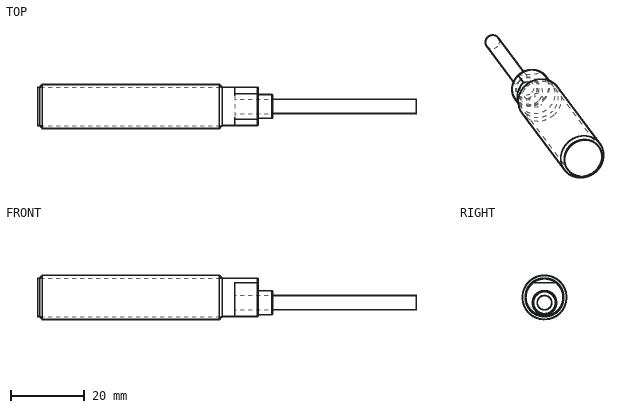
import cadquery as cq

total_length = 102.6
sleeve_diameter = 12.0
sleeve_radius = sleeve_diameter / 2
sleeve_start = 0.5
sleeve_end = 50.0

core_radius = 5.2
end_piece_start = 53.4
neck_end = 59.7
neck_edge_chamfer = 0.2
sleeve_chamfer = sleeve_radius - core_radius
parting_height = 3.9

cable_drop = 1.4
cable_radius = 2.0
gland_radius = 3.3
gland_end = 63.7
gland_chamfer = 0.3


def cylinder(start, end, radius, height=0.0):
    """Round bar along X between two positions, with its axis at the given Z."""
    return cq.Workplane("YZ", origin=(start, 0, height)).circle(radius).extrude(end - start)


def make_sleeve():
    """Metal tube around the core, chamfered at both ends."""
    profile = [
        (sleeve_start, core_radius),
        (sleeve_start + sleeve_chamfer, sleeve_radius),
        (sleeve_end - sleeve_chamfer, sleeve_radius),
        (sleeve_end, core_radius),
    ]
    return cq.Workplane("XY").polyline(profile).close().revolve(360, (0, 0), (1, 0))


def make_core_outline():
    """Complete round bar shared by the core and the end piece."""
    bar = cylinder(0, neck_end, core_radius)
    return bar.faces(">X").chamfer(neck_edge_chamfer)


def make_end_region():
    """Block behind the seam and below the parting plane."""
    return cq.Workplane("XY").box(
        neck_end - end_piece_start,
        sleeve_diameter,
        sleeve_radius + parting_height,
        centered=(False, True, False),
    ).translate((end_piece_start, 0, -sleeve_radius))


def make_core():
    """Bar through the sleeve: sensing face in front, tongue along the top of the neck behind."""
    return make_core_outline().cut(make_end_region())


def make_end_piece():
    """Lower rear part of the neck with the cable gland, bored for the cable."""
    body = make_core_outline().intersect(make_end_region())
    gland = cylinder(end_piece_start, gland_end, gland_radius, -cable_drop)
    gland = gland.faces(">X").chamfer(gland_chamfer)
    bore = cylinder(end_piece_start, gland_end, cable_radius, -cable_drop)
    return body.union(gland).cut(bore)


def make_cable():
    """Cable from the core face out through the gland."""
    return cylinder(end_piece_start, total_length, cable_radius, -cable_drop)


sleeve = make_sleeve()
core = make_core()
end_piece = make_end_piece()
cable = make_cable()

result = cq.Compound.makeCompound([sleeve.val(), core.val(), end_piece.val(), cable.val()])